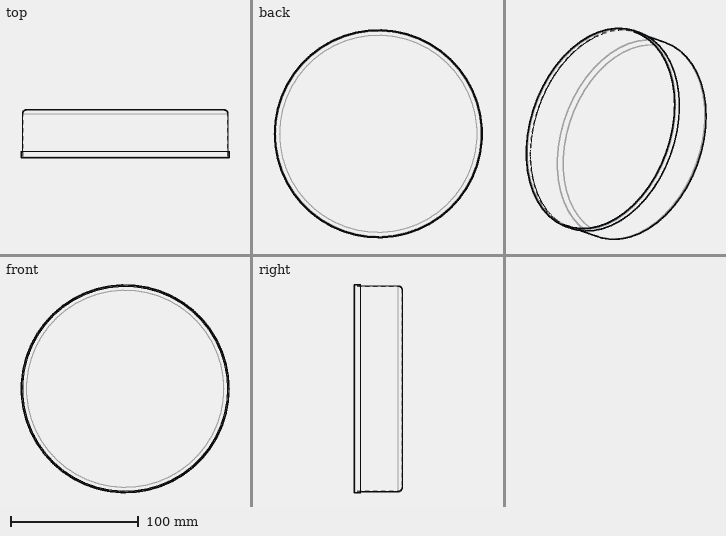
import cadquery as cq

inner_diameter = 160.3
sheet_thickness = 0.5
total_depth = 38.0
floor_inner_radius = 3.0
hem_diameter = 162.9
hem_length = 5.0

wall_inner = inner_diameter / 2
wall_outer = wall_inner + sheet_thickness
hem_outer = hem_diameter / 2
hem_inner = hem_outer - sheet_thickness

fold_outer_radius = (hem_outer - wall_inner) / 2
fold_inner_radius = fold_outer_radius - sheet_thickness
fold_center = (wall_inner + hem_outer) / 2

open_edge = 0.0
fold_start = open_edge + fold_outer_radius
fold_inner_edge = fold_start - fold_inner_radius
hem_end = open_edge + hem_length
floor_back = open_edge + total_depth
floor_front = floor_back - sheet_thickness

floor_outer_radius = floor_inner_radius + sheet_thickness
floor_flat = wall_inner - floor_inner_radius
floor_bend_start = floor_front - floor_inner_radius


def arc_middle(center_x, center_y, radius):
    """Point halfway along a quarter bend that turns toward +X and +Y."""
    diagonal = radius / 2 ** 0.5
    return (center_x + diagonal, center_y + diagonal)


def sheet_profile():
    """Half section of the sheet in the XY plane, from the axis outward."""
    return (
        cq.Workplane("XY")
        .moveTo(0, floor_front)
        .lineTo(floor_flat, floor_front)
        .threePointArc(
            arc_middle(floor_flat, floor_bend_start, floor_inner_radius),
            (wall_inner, floor_bend_start),
        )
        .lineTo(wall_inner, fold_start)
        .threePointArc((fold_center, open_edge), (hem_outer, fold_start))
        .lineTo(hem_outer, hem_end)
        .lineTo(hem_inner, hem_end)
        .lineTo(hem_inner, fold_start)
        .threePointArc((fold_center, fold_inner_edge), (wall_outer, fold_start))
        .lineTo(wall_outer, floor_bend_start)
        .threePointArc(
            arc_middle(floor_flat, floor_bend_start, floor_outer_radius),
            (floor_flat, floor_back),
        )
        .lineTo(0, floor_back)
        .close()
    )


result = sheet_profile().revolve(360, (0, 0, 0), (0, 1, 0))